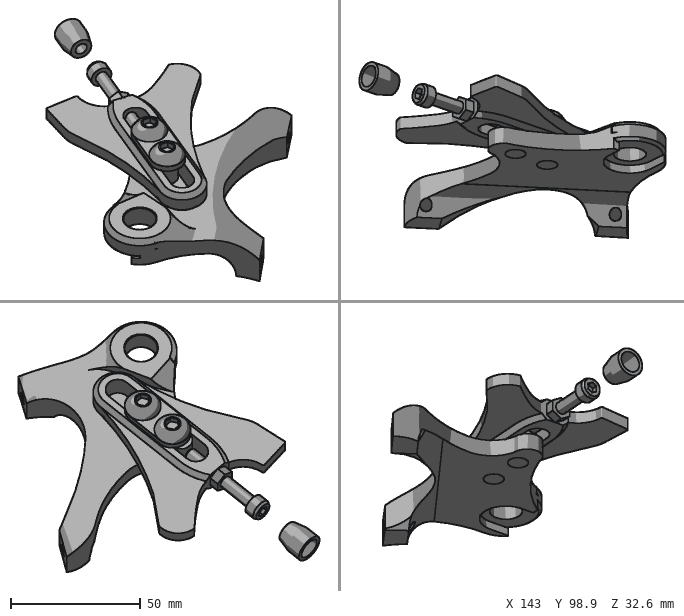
import cadquery as cq
import math


screw_pitch = 16.0
head_radius = 7.0
head_top_radius = 3.2
head_height = 3.85
head_socket_flats = 5.0
head_socket_depth = 2.5
shank_radius = 4.0
washer_radius = 7.1
washer_thickness = 2.4

rib_half_height = 4.5
arm_thickness = 4.9
arm_corner_radius = 0.6
upper_tip = (-36.7, 25.5)
lower_inner_tip = (-35.1, -14.5)
lower_outer_tip = (-33.4, -28.6)
rib_chamfer = 2.0
rib_radius = 9.6
rib_left = -24.4
rib_taper_start = -11.35
rib_taper_radius = 27.4
rib_taper_overrun = 3.6
rib_right_centre = 29.5
slot_radius = 4.75
slot_left_centre = -12.65
slot_right_centre = 29.5

bolt_radius = 2.5
bolt_tip = -9.05
bolt_tip_chamfer = 0.6
bolt_head_left = -48.9
bolt_head_length = 5.3
bolt_head_radius = 4.3
bolt_head_bevel_length = 1.2
bolt_head_bevel_depth = 0.6
bolt_socket_flats = 4.0
bolt_socket_depth = 2.5
nut_flats = 8.0
nut_thickness = 4.0
cap_left = -73.97
cap_length = 11.9
cap_straight = 6.25
cap_radius = 5.75
cap_tip_radius = 4.4
cap_bore_radius = 4.25
cap_bore_tip_radius = 2.4

base_top = -rib_half_height
base_bottom = -11.35
foot_bottom = -21.8
tip_centre_x = -6.0
tip_radius = 6.0
key_radius = 4.3
boss_x, boss_y = 38.9, -22.45
boss_radius = 13.9
boss_join_direction = 208.6
boss_top = 0.4
boss_bottom = -8.0
boss_chamfer = 2.0
boss_lower_chamfer = 1.2
clearance_far_y = 30.0
left_ramp_direction = 188
left_ramp_foot = 20.3
left_ramp_overlap = 3.0
right_ramp_foot = 21.4
ramp_radius = 14.0
boss_bore_radius = 6.3
boss_bore_chamfer = 0.3
relief_radius = 10.2
relief_left_y = -28.2
relief_right_y = -31.0

span_angle = -33.0
fall_start = 31.8
fall_radius = 28.0
crown_radius = 98.0
crown_start = 26.9
crown_centre_span = 10.0
foot_fillet_reach = 30.0
foot_fillet_radius = 10.4
arch_left_span = -23.8
arch_top_span = 14.0
arch_right_span = 37.3
arch_top = -11.9
foot_hole_radius = 2.3
foot_hole_centre_span = 6.75
foot_hole_offset = 36.9
foot_hole_z = -17.0
reach_limit = 60.0
span_limit = 80.0


def clamp_plane(normal):
    """Plane whose normal is the span or the reach; its local Y is always +Z."""
    angle = math.radians(span_angle)
    span = cq.Vector(math.cos(angle), math.sin(angle), 0)
    reach = cq.Vector(-math.sin(angle), math.cos(angle), 0)
    if normal == "span":
        return cq.Plane((0, 0, 0), xDir=reach, normal=reach.cross(cq.Vector(0, 0, 1)))
    return cq.Plane((0, 0, 0), xDir=span, normal=reach * -1)


def arc_radius(run, rise):
    """Radius of an arc that is level at one end and covers the given run and rise."""
    return (run**2 + rise**2) / (2 * rise)


def obround(left, right, radius, bottom, height):
    return (
        cq.Workplane("XY", origin=((left + right) / 2, 0, bottom))
        .slot2D(right - left + 2 * radius, 2 * radius)
        .extrude(height)
    )


def base_outline(bottom, height):
    join = math.radians(boss_join_direction)
    boss_join = (boss_x + boss_radius * math.cos(join), boss_y + boss_radius * math.sin(join))
    return (
        cq.Workplane("XY", origin=(0, 0, bottom))
        .moveTo(-3.9, 62.56)
        .threePointArc((-6.3, 55.65), (-3.6, 46.2))
        .threePointArc((1.2, 36.3), (4.2, 21.0))
        .threePointArc((1.5, 11.5), (tip_centre_x, tip_radius))
        .threePointArc((tip_centre_x - tip_radius, 0), (tip_centre_x, -tip_radius))
        .threePointArc((10.75, -13.8), boss_join)
        .threePointArc((boss_x, boss_y - boss_radius), (boss_x + boss_radius, boss_y))
        .threePointArc((54.6, -7.6), (69.06, 14.6))
        .lineTo(57.9, 21.5)
        .threePointArc((41.7, 14.1), (27.35, 20.1))
        .threePointArc((16.3, 35.0), (7.1, 55.4))
        .close()
        .extrude(height)
    )


def feet():
    """Everything below the flat underside: two feet left between an arch and a cross fillet."""
    block = base_outline(foot_bottom, base_bottom - foot_bottom)
    inner_side = (
        cq.Workplane(clamp_plane("span"))
        .moveTo(-reach_limit, foot_bottom)
        .lineTo(foot_fillet_reach + foot_fillet_radius, foot_bottom)
        .radiusArc((foot_fillet_reach, foot_bottom + foot_fillet_radius), -foot_fillet_radius)
        .lineTo(foot_fillet_reach, base_bottom)
        .lineTo(-reach_limit, base_bottom)
        .close()
        .extrude(span_limit, both=True)
    )
    rise = arch_top - foot_bottom
    arch_left_width = arch_top_span - arch_left_span
    arch_right_width = arch_right_span - arch_top_span
    arch = (
        cq.Workplane(clamp_plane("reach"))
        .moveTo(arch_left_span, foot_bottom)
        .radiusArc((arch_top_span, arch_top), arc_radius(arch_left_width, rise))
        .radiusArc((arch_right_span, foot_bottom), arc_radius(arch_right_width, rise))
        .close()
        .extrude(span_limit, both=True)
    )
    holes = (
        cq.Workplane(clamp_plane("reach"))
        .pushPoints([(foot_hole_centre_span + side * foot_hole_offset, foot_hole_z) for side in (-1, 1)])
        .circle(foot_hole_radius)
        .extrude(span_limit, both=True)
    )
    return block.cut(inner_side).cut(arch).cut(holes)


def fall_profile(plane, start):
    """Area above a convex arc that leaves the flat upper face at the given reach."""
    return (
        cq.Workplane(plane)
        .moveTo(start, base_top)
        .radiusArc((start + fall_radius, base_top - fall_radius), fall_radius)
        .lineTo(start + fall_radius, boss_top)
        .lineTo(start, boss_top)
        .close()
    )


def straight_fall():
    return fall_profile(clamp_plane("span"), fall_start).extrude(span_limit, both=True)


def crown_fall():
    """The same fall turned about an upright axis, for the curved edge between the feet."""
    axis_reach = crown_start + crown_radius
    plane = clamp_plane("span")
    centre = plane.toWorldCoords((0, 0, 0)) + clamp_plane("reach").xDir * crown_centre_span
    shifted = cq.Plane(centre, xDir=plane.xDir, normal=plane.zDir)
    return fall_profile(shifted, crown_start).revolve(360, (axis_reach, 0), (axis_reach, 1))


def ramp_profile(direction, foot_distance, offset=0):
    """Upright area under a concave ramp from the flat upper face to the top of the boss."""
    angle = math.radians(direction)
    out = cq.Vector(math.cos(angle), math.sin(angle), 0)
    plane = cq.Plane((boss_x, boss_y, 0), xDir=out, normal=out.cross(cq.Vector(0, 0, 1)))
    top_distance = boss_radius - boss_chamfer
    return (
        cq.Workplane(plane)
        .workplane(offset=offset)
        .moveTo(0, base_top)
        .lineTo(foot_distance, base_top)
        .radiusArc((top_distance, boss_top), ramp_radius)
        .lineTo(0, boss_top)
        .close()
    )


def boss_ramps():
    """A straight ramp on the left of the boss and a ramp turned about it on the right."""
    left_profile = ramp_profile(left_ramp_direction, left_ramp_foot, -left_ramp_overlap)
    left = left_profile.extrude(boss_radius + left_ramp_overlap)
    right = ramp_profile(0, right_ramp_foot).revolve(90, (0, 0), (0, 1))
    outline = base_outline(base_top, boss_top - base_top)
    return left.union(right).intersect(outline)


def plate_clearance():
    """Space above the flat face in which the adjuster plate slides past the boss."""
    return (
        cq.Workplane("XY", origin=(0, 0, base_top))
        .moveTo(10.0, -22.8)
        .lineTo(24.5, -15.1)
        .lineTo(38.9, -10.0)
        .threePointArc((44.8, -7.2), (48.6, -3.1))
        .lineTo(48.6, clearance_far_y)
        .lineTo(10.0, clearance_far_y)
        .close()
        .extrude(boss_top - base_top)
    )


def boss_relief():
    """Open-ended clearance under the boss, and the trimmed ends either side of it."""
    depth = boss_bottom - base_bottom
    low = cq.Workplane("XY", origin=(boss_x, boss_y, base_bottom))
    size = 2 * boss_radius
    rounded = low.circle(relief_radius).extrude(depth)
    channel = low.center(0, -size / 2).rect(2 * relief_radius, size).extrude(depth)
    tool = rounded.union(channel)
    for side, edge_y in ((-1, relief_left_y), (1, relief_right_y)):
        trim = low.center(side * size / 2, edge_y - boss_y - size / 2).rect(size, size)
        tool = tool.union(trim.extrude(depth))
    return tool.union(lower_rim_chamfer())


def lower_rim_chamfer():
    """Material outside the boss's lower chamfer, along its free rim on the -Y side."""
    size = 2 * boss_radius
    rim = (
        cq.Workplane("XY", origin=(boss_x, relief_left_y - size / 2, boss_bottom))
        .rect(2 * size, size)
        .extrude(boss_lower_chamfer)
    )
    cone = cq.Solid.makeCone(
        boss_radius - boss_lower_chamfer,
        boss_radius,
        boss_lower_chamfer,
        pnt=cq.Vector(boss_x, boss_y, boss_bottom),
    )
    return rim.cut(cq.Workplane(cone))


def make_base():
    body = base_outline(base_bottom, base_top - base_bottom).union(feet())
    body = body.cut(straight_fall()).cut(crown_fall()).cut(boss_relief())
    boss = (
        cq.Workplane("XY", origin=(boss_x, boss_y, base_top))
        .circle(boss_radius)
        .extrude(boss_top - base_top)
        .faces(">Z")
        .chamfer(boss_chamfer)
    )
    body = body.union(boss.union(boss_ramps()).cut(plate_clearance()))
    bore = (
        cq.Workplane("XY", origin=(boss_x, boss_y, base_bottom))
        .circle(boss_bore_radius)
        .extrude(boss_top - base_bottom)
    )
    bore_rim = cq.selectors.NearestToPointSelector((boss_x, boss_y, boss_top))
    body = body.cut(bore).edges(bore_rim).chamfer(boss_bore_chamfer)
    key_left = bolt_tip + key_radius
    key = obround(key_left, screw_pitch, key_radius, base_top, 2 * rib_half_height)
    body = body.union(key)
    threads = (
        cq.Workplane("XY", origin=(0, 0, base_bottom))
        .pushPoints([(0, 0), (screw_pitch, 0)])
        .circle(shank_radius)
        .extrude(rib_half_height - base_bottom)
    )
    return body.cut(threads)


def plate_arms():
    arms = (
        cq.Workplane("XY", origin=(0, 0, -arm_thickness / 2))
        .moveTo(*upper_tip)
        .threePointArc((-33.4, 31.9), (-26.2, 34.2))
        .lineTo(-13.8, 24.7)
        .threePointArc((7.0, 15.0), (rib_right_centre, rib_radius))
        .threePointArc((rib_right_centre + rib_radius, 0), (rib_right_centre, -rib_radius))
        .threePointArc((14.9, -12.5), (-0.4, -17.9))
        .lineTo(-14.8, -25.4)
        .threePointArc((-17.0, -26.4), (-19.5, -27.0))
        .lineTo(*lower_outer_tip)
        .lineTo(*lower_inner_tip)
        .threePointArc((-28.2, -11.8), (rib_left, -6.3))
        .lineTo(rib_left, 6.3)
        .threePointArc((-26.0, 11.5), (-28.3, 15.2))
        .threePointArc((-32.4, 20.6), upper_tip)
        .close()
        .extrude(arm_thickness)
    )
    for x, y in (upper_tip, lower_inner_tip, lower_outer_tip):
        arms = arms.edges(cq.selectors.NearestToPointSelector((x, y, 0))).fillet(arm_corner_radius)
    return arms


def plate_rib():
    """Raised rib, chamfered all round above and below, with a square-cut left end."""
    blank_left = rib_left - rib_taper_overrun
    run = rib_taper_start - blank_left
    blank_half_width = rib_radius - rib_taper_radius + math.sqrt(rib_taper_radius**2 - run**2)
    blank = (
        cq.Workplane("XY", origin=(0, 0, -rib_half_height))
        .moveTo(blank_left, blank_half_width)
        .radiusArc((rib_taper_start, rib_radius), rib_taper_radius)
        .lineTo(rib_right_centre, rib_radius)
        .threePointArc((rib_right_centre + rib_radius, 0), (rib_right_centre, -rib_radius))
        .lineTo(rib_taper_start, -rib_radius)
        .radiusArc((blank_left, -blank_half_width), rib_taper_radius)
        .close()
        .extrude(2 * rib_half_height)
        .faces("<Z or >Z")
        .chamfer(rib_chamfer)
    )
    overrun = cq.Workplane("XY").box(
        rib_taper_overrun, 2 * rib_radius, 2 * rib_half_height, centered=(False, True, True)
    ).translate((blank_left, 0, 0))
    return blank.cut(overrun)


def make_plate():
    slot = obround(
        slot_left_centre, slot_right_centre, slot_radius, -rib_half_height, 2 * rib_half_height
    )
    bolt_hole = (
        cq.Workplane("YZ", origin=(rib_left, 0, 0))
        .circle(bolt_radius)
        .extrude(slot_left_centre - rib_left)
    )
    return plate_arms().union(plate_rib()).cut(slot).cut(bolt_hole)


def make_washer():
    washer = obround(0, screw_pitch, washer_radius, rib_half_height, washer_thickness)
    holes = (
        cq.Workplane("XY", origin=(0, 0, rib_half_height))
        .pushPoints([(0, 0), (screw_pitch, 0)])
        .circle(shank_radius)
        .extrude(washer_thickness)
    )
    return washer.cut(holes)


def make_clamp_screw(x):
    head_base = rib_half_height + washer_thickness
    head_top = head_base + head_height
    dome_centre = (
        head_top + head_base - (head_radius**2 - head_top_radius**2) / head_height
    ) / 2
    dome_radius = math.hypot(head_radius, head_base - dome_centre)
    screw = (
        cq.Workplane("XZ")
        .moveTo(0, base_bottom)
        .lineTo(shank_radius, base_bottom)
        .lineTo(shank_radius, head_base)
        .lineTo(head_radius, head_base)
        .radiusArc((head_top_radius, head_top), -dome_radius)
        .lineTo(0, head_top)
        .close()
        .revolve(360, (0, 0), (0, 1))
    )
    socket = (
        cq.Workplane("XY", origin=(0, 0, head_top - head_socket_depth))
        .polygon(6, head_socket_flats, circumscribed=True)
        .extrude(head_socket_depth)
    )
    return screw.cut(socket).translate((x, 0, 0))


def make_bolt():
    head_right = bolt_head_left + bolt_head_length
    bolt = (
        cq.Workplane("XZ")
        .moveTo(bolt_head_left, 0)
        .lineTo(bolt_head_left, bolt_head_radius - bolt_head_bevel_depth)
        .lineTo(bolt_head_left + bolt_head_bevel_length, bolt_head_radius)
        .lineTo(head_right, bolt_head_radius)
        .lineTo(head_right, bolt_radius)
        .lineTo(bolt_tip - bolt_tip_chamfer, bolt_radius)
        .lineTo(bolt_tip, bolt_radius - bolt_tip_chamfer)
        .lineTo(bolt_tip, 0)
        .close()
        .revolve(360, (0, 0), (1, 0))
    )
    socket = (
        cq.Workplane("YZ", origin=(bolt_head_left, 0, 0))
        .polygon(6, bolt_socket_flats, circumscribed=True)
        .extrude(bolt_socket_depth)
    )
    return bolt.cut(socket)


def make_nut():
    """Lock nut tight against the plate, with a corner pointing straight up."""
    return (
        cq.Workplane("YZ", origin=(rib_left - nut_thickness, 0, 0))
        .polygon(6, nut_flats, circumscribed=True)
        .circle(bolt_radius)
        .extrude(nut_thickness)
    )


def make_cap():
    cap_right = cap_left + cap_length
    return (
        cq.Workplane("XZ")
        .moveTo(cap_left, cap_bore_radius)
        .lineTo(cap_left, cap_radius)
        .lineTo(cap_left + cap_straight, cap_radius)
        .lineTo(cap_right, cap_tip_radius)
        .lineTo(cap_right, cap_bore_tip_radius)
        .close()
        .revolve(360, (0, 0), (1, 0))
    )


base = make_base()
plate = make_plate()
washer = make_washer()
clamp_screws = [make_clamp_screw(index * screw_pitch) for index in range(2)]
bolt = make_bolt()
nut = make_nut()
cap = make_cap()

result = cq.Compound.makeCompound(
    [
        *base.solids().vals(),
        *plate.solids().vals(),
        *washer.solids().vals(),
        *[screw.solids().val() for screw in clamp_screws],
        *bolt.solids().vals(),
        *nut.solids().vals(),
        *cap.solids().vals(),
    ]
)